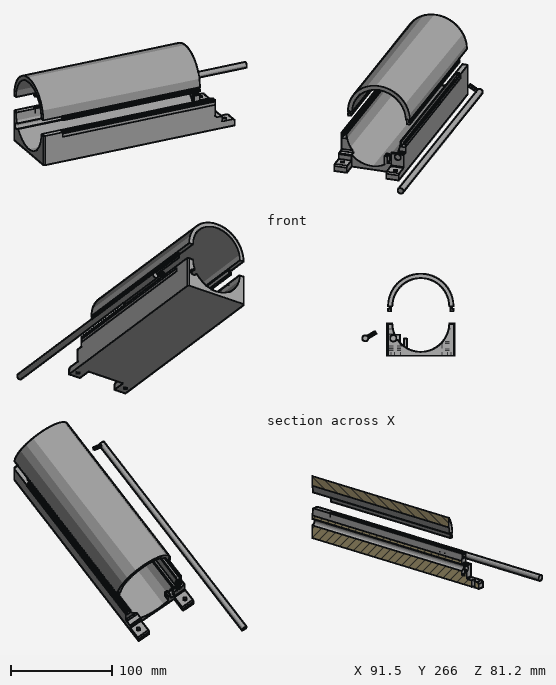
import cadquery as cq
import math

trough_width = 67.3
trough_height = 32.0
trough_length = 195.3
channel_radius = 28.0
front_side_chamfer = 1.3
front_top_chamfer = 0.8
half_width = trough_width / 2

wall_length = 189.0
left_step_height = 21.0
right_step_height = 13.0
left_step_chamfer = 0.5
right_step_chamfer = 1.5
left_lip_overhang = 0.8
right_lip_overhang = 1.3
rear_lip_chamfer = 0.8
left_lip_height = 8.0

tab_inner_x = 20.5
tab_end_y = 210.5
tab_height = 7.2
tab_chamfer = 1.5
tab_hole_diameter = 3.5
tab_hole_x = 28.0
left_tab_hole_y = 203.3
right_tab_hole_y = 202.0

rod_diameter = 6.0
rod_bore_diameter = 6.5
rod_bore_x = -27.1
rod_bore_end_y = 194.3
rod_height = 17.3
rod_x = -54.8
rod_start_y = 26.0
rod_end_y = 266.0
lever_diameter = 3.5
lever_sides = 5
lever_reach = 12.0
lever_angle = 30.0

lever_slot_bottom_z = 16.0
lever_slot_top_z = 20.8

pocket_outer_x = -32.0
pocket_floor_height = 9.8
pocket_back_wall_y = 192.7
post_width = 3.2
post_left_x = -16.8
post_height = 17.3
post_foot_z = trough_height - channel_radius
post_chamfer = 0.5

cover_radius = 32.5
cover_length = 172.7
cover_base_z = 48.7
tongue_start_y = 21.8
tongue_inner_x = 29.3
tongue_neck_x = 31.1
tongue_hook_x = 32.5
tongue_height = 4.8
hook_height = 2.5
hook_chamfer = 0.5

groove_clearance = 0.5


def box(x_range, y_range, z_range):
    """Box between two corners, given as ranges along the three axes."""
    sizes = [end - start for start, end in (x_range, y_range, z_range)]
    corner = (x_range[0], y_range[0], z_range[0])
    return cq.Workplane("XY").box(*sizes, centered=False).translate(corner)


def rod_along_y(diameter, x, z, y_start, y_end):
    """Cylinder parallel to Y between two Y positions."""
    profile = cq.Workplane("XZ", origin=(x, y_start, z)).circle(diameter / 2)
    return profile.extrude(y_start - y_end)


def trough_block():
    """Block with its front face chamfered at the top and both sides."""
    block = box((-half_width, half_width), (0, trough_length), (0, trough_height))
    block = block.faces("<Y").edges("|Z").chamfer(front_side_chamfer)
    return block.faces("<Y").edges(">Z").chamfer(front_top_chamfer)


def step_cutter(x_range, floor_z, corner_chamfer):
    """Space above a rear step, with a chamfered inner corner at the foot of the wall."""
    cutter = box(x_range, (wall_length, tab_end_y), (floor_z, trough_height))
    return cutter.faces("<Z").edges("<Y").chamfer(corner_chamfer)


def tab(side, hole_y):
    """Screw tab on one side (-1 left, +1 right) with a chamfered end and a through hole."""
    x_range = sorted((side * tab_inner_x, side * half_width))
    plate = box(x_range, (wall_length, tab_end_y), (0, tab_height))
    plate = plate.faces(">Y").edges(">Z").chamfer(tab_chamfer)
    hole = cq.Workplane("XY").center(side * tab_hole_x, hole_y).circle(tab_hole_diameter / 2)
    return plate.cut(hole.extrude(tab_height))


def left_step():
    """Solid step that carries the end of the rod bore."""
    return box((-half_width, -tab_inner_x), (wall_length, trough_length), (0, left_step_height))


def rear_lip(side, height, overhang):
    """Lip above one tab, standing slightly behind the trough, with a chamfered top edge."""
    x_range = sorted((side * tab_inner_x, side * half_width))
    lip = box(x_range, (wall_length, trough_length + overhang), (0, height))
    return lip.faces(">Y").edges(">Z").chamfer(rear_lip_chamfer)


def lever_slot():
    """Slot between the rod bore and the channel, from the front face to the lever pocket."""
    return box((rod_bore_x, 0), (0, wall_length), (lever_slot_bottom_z, lever_slot_top_z))


def lever_pocket():
    """Pocket in front of the step's back wall, running on between the step and the post."""
    z_range = (pocket_floor_height, left_step_height)
    behind_wall = box((pocket_outer_x, post_left_x), (wall_length, pocket_back_wall_y), z_range)
    beside_step = box((-tab_inner_x, post_left_x), (wall_length, trough_length), z_range)
    return behind_wall.union(beside_step)


def stop_post():
    """Post that rises from the channel and stops the lever."""
    x_range = (post_left_x, post_left_x + post_width)
    post = box(x_range, (wall_length, trough_length), (post_foot_z, post_height))
    return post.faces(">Z").chamfer(post_chamfer)


def groove(side):
    """Undercut groove in the top of one wall, open at the rear."""
    y_range = (tongue_start_y - groove_clearance, wall_length)
    inner_x = tongue_inner_x - groove_clearance
    neck_x = tongue_neck_x + groove_clearance
    hook_x = tongue_hook_x + groove_clearance
    floor_z = trough_height - tongue_height - groove_clearance
    hook_top_z = trough_height - tongue_height + hook_height + groove_clearance
    neck = box(sorted((side * inner_x, side * neck_x)), y_range, (floor_z, trough_height))
    undercut = box(sorted((side * inner_x, side * hook_x)), y_range, (floor_z, hook_top_z))
    return neck.union(undercut)


def make_trough():
    body = trough_block()
    body = body.cut(rod_along_y(2 * channel_radius, 0, trough_height, 0, trough_length))
    body = body.cut(step_cutter((-half_width, 0), left_step_height, left_step_chamfer))
    body = body.cut(step_cutter((0, half_width), right_step_height, right_step_chamfer))
    body = body.union(left_step())
    body = body.union(rear_lip(-1, left_lip_height, left_lip_overhang))
    body = body.union(rear_lip(1, right_step_height, right_lip_overhang))
    body = body.union(tab(-1, left_tab_hole_y)).union(tab(1, right_tab_hole_y))
    body = body.cut(lever_slot()).cut(lever_pocket()).union(stop_post())
    body = body.cut(rod_along_y(rod_bore_diameter, rod_bore_x, rod_height, 0, rod_bore_end_y))
    return body.cut(groove(-1)).cut(groove(1))


def tongue(side):
    """Tongue under one edge of the cover, with a hook pointing outward."""
    y_range = (tongue_start_y, cover_length)
    bottom_z = cover_base_z - tongue_height
    neck = box(sorted((side * tongue_inner_x, side * tongue_neck_x)), y_range, (bottom_z, cover_base_z))
    hook_range = sorted((side * tongue_inner_x, side * tongue_hook_x))
    hook = box(hook_range, y_range, (bottom_z, bottom_z + hook_height))
    outer_side = "<X" if side < 0 else ">X"
    hook = hook.faces("<Z").edges(outer_side).chamfer(hook_chamfer)
    return neck.union(hook)


def make_cover():
    shell = (
        cq.Workplane("XZ", origin=(0, 0, cover_base_z))
        .moveTo(-cover_radius, 0)
        .threePointArc((0, cover_radius), (cover_radius, 0))
        .lineTo(channel_radius, 0)
        .threePointArc((0, channel_radius), (-channel_radius, 0))
        .close()
        .extrude(-cover_length)
    )
    return shell.union(tongue(-1)).union(tongue(1))


def make_rod():
    """Rod with a short five-sided lever at its front end, one edge up, standing out sideways and upward."""
    shaft = rod_along_y(rod_diameter, rod_x, rod_height, rod_start_y, rod_end_y)
    angle = math.radians(lever_angle)
    lever_plane = cq.Plane(
        origin=(rod_x, rod_start_y + lever_diameter / 2, rod_height),
        xDir=(0, 1, 0),
        normal=(math.cos(angle), 0, math.sin(angle)),
    )
    profile = cq.Workplane(lever_plane).transformed(rotate=(0, 0, -90)).polygon(lever_sides, lever_diameter)
    lever = profile.extrude(lever_reach)
    return shaft.union(lever)


trough = make_trough()
cover = make_cover()
rod = make_rod()

result = cq.Compound.makeCompound([trough.val(), cover.val(), rod.val()])